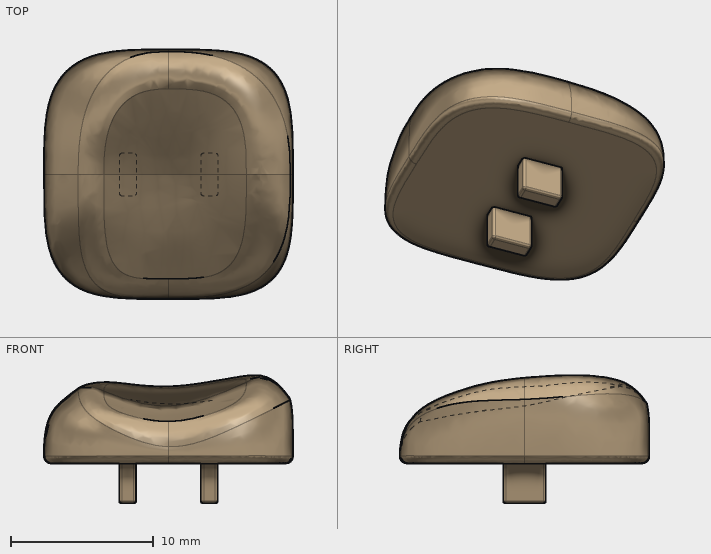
import cadquery as cq
import math

BOTTOM_ROUND = 0.55
POINTS_PER_QUARTER = 10

FOOT = dict(
    reach=(8.74, 8.76, 8.72, 8.76),
    square=(3.8, 3.6, 3.7, 3.9),
    heights=(0, 0, 0, 0, 0, 0, 0, 0),
)
BELLY = dict(
    reach=(8.74, 8.76, 8.47, 8.76),
    square=(3.5, 3.15, 3.7, 3.75),
    heights=(2.4, 2.6, 2.4, 2.6, 2.9, 2.1, 0.7, 1.6),
)
SHOULDER = dict(
    reach=(8.68, 8.72, 7.55, 8.73),
    square=(3.0, 2.75, 3.7, 3.4),
    heights=(3.7, 3.9, 3.4, 4.2, 4.3, 3.2, 0.95, 2.7),
)
RIM_OUTER = dict(
    reach=(8.55, 8.6, 6.35, 8.65),
    square=(2.5, 2.5, 4.3, 3.0),
    heights=(4.5, 4.9, 4.2, 5.25, 5.2, 4.0, 1.2, 3.6),
)
RIM_CREST = dict(
    reach=(7.0, 7.4, 5.55, 8.2),
    square=(2.8, 2.5, 4.3, 3.4),
    heights=(5.91, 6.02, 5.28, 5.68, 5.4, 4.45, 2.2, 4.5),
)
DISH_EDGE = dict(
    reach=(5.45, 6.0, 4.55, 7.33),
    square=(3.1, 2.6, 4.3, 3.7),
    heights=(5.72, 5.9, 5.3, 5.65, 5.1, 4.35, 2.95, 4.6),
)
DISH_FLOOR = ((3.2, 4.75), (0, 4.06), (-3.8, 3.6))
SPLIT_SIZE = 30

LEG_X = 1.2
LEG_Y = 3.0
LEG_DROP = 2.8
LEG_SPACING = 5.72
LEG_ROUND = 0.2
LEG_ROOT = 0.5


def ring_height(heights, angle):
    """Smooth trigonometric interpolation of evenly spaced heights."""
    count = len(heights)
    total = 0
    for index, height in enumerate(heights):
        offset = angle - 2 * math.pi * index / count
        if math.isclose(math.sin(offset / 2), 0, abs_tol=1e-9):
            return height
        total += height * math.sin(count * offset / 2) / math.tan(offset / 2) / count
    return total


def ring_point(ring, angle):
    """Point of a ring, its plan being a superellipse with its own shape in each quarter."""
    cosine = math.cos(angle)
    sine = math.sin(angle)
    quarter = int(angle / (math.pi / 2)) % 4
    reach_x = ring["reach"][0 if cosine > 0 else 2]
    reach_y = ring["reach"][1 if sine > 0 else 3]
    power = ring["square"][quarter]
    radius = (abs(cosine / reach_x) ** power + abs(sine / reach_y) ** power) ** (-1 / power)
    return cq.Vector(radius * cosine, radius * sine, ring_height(ring["heights"], angle))


def ring_wire(ring):
    """Smooth closed spline cut into four quarter edges."""
    count = 4 * POINTS_PER_QUARTER
    turns = [index / count for index in range(count + 1)]
    points = [ring_point(ring, 2 * math.pi * turn) for turn in turns[:-1]]
    loop = cq.Edge.makeSpline(points, periodic=True, parameters=turns)
    quarters = [loop.trim(index / 4, (index + 1) / 4) for index in range(4)]
    return cq.Wire.assembleEdges(quarters)


def make_dish(edge_wire):
    """Concave face inside the rim, split along y = 0."""
    floor_points = [cq.Vector(0, y, z) for y, z in DISH_FLOOR]
    dish = cq.Face.makeNSidedSurface(edge_wire.Edges(), floor_points)
    cutter = cq.Face.makePlane(SPLIT_SIZE, SPLIT_SIZE, (0, 0, 0), (0, 1, 0))
    return dish.split(cutter).Faces()


def make_cap():
    """Wall, rim and dish faces sewn to a flat underside."""
    foot = ring_wire(FOOT)
    rim_outer = ring_wire(RIM_OUTER)
    dish_edge = ring_wire(DISH_EDGE)
    wall = cq.occ_impl.shapes.loft(foot, ring_wire(BELLY), ring_wire(SHOULDER), rim_outer, compat=False)
    rim = cq.occ_impl.shapes.loft(rim_outer, ring_wire(RIM_CREST), dish_edge, compat=False)
    underside = cq.Face.makeFromWires(foot)
    faces = [*wall.Faces(), *rim.Faces(), *make_dish(dish_edge), underside]
    cap = cq.Solid.makeSolid(cq.Shell.makeShell(faces))
    return cq.Workplane(obj=cap.fillet(BOTTOM_ROUND, cap.faces("<Z").Edges()))


def make_leg(center_x):
    return (
        cq.Workplane()
        .box(LEG_X, LEG_Y, LEG_DROP + LEG_ROOT, centered=(True, True, False))
        .edges("|Z or <Z")
        .fillet(LEG_ROUND)
        .translate((center_x, 0, -LEG_DROP))
    )


result = make_cap()
for side in (-1, 1):
    result = result.union(make_leg(side * LEG_SPACING / 2), clean=False)